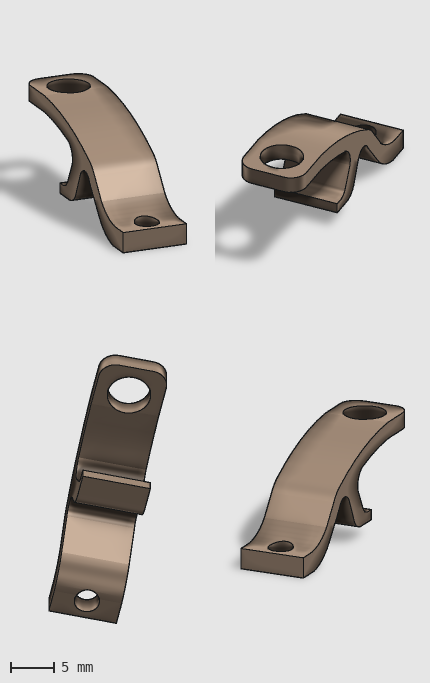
import cadquery as cq

length = 28.45
width = 8.0
height = 12.3

strip_thickness = 2.0
mount_flat_end = 6.0
mount_corner_radius = 2.0
foot_thickness = 2.47
foot_top_start = 26.9
foot_bottom_start = 25.6

hook_tip_x = 10.38
hook_bottom = 1.75
hook_thickness = 1.25
hook_top = hook_bottom + hook_thickness

mount_hole_diameter = 5.0
mount_hole_x = 3.85
foot_hole_diameter = 2.9
foot_hole_x = 26.16


def side_profile():
    """Closed side outline in XZ, traced clockwise from the top left corner."""
    mount_bottom = height - strip_thickness
    outline = cq.Workplane("XZ").moveTo(0, height)

    outline = (
        outline.lineTo(mount_flat_end, height)
        .threePointArc((12.5, 11.0), (18.69, 8.3))
        .threePointArc((19.62, 7.65), (20.33, 6.83))
        .lineTo(22.27, 4.35)
        .threePointArc((24.12, 3.05), (foot_top_start, foot_thickness))
        .lineTo(length, foot_thickness)
        .lineTo(length, 0)
    )

    outline = (
        outline.lineTo(foot_bottom_start, 0)
        .threePointArc((23.5, 0.7), (21.61, 2.25))
        .lineTo(18.83, 5.65)
        .threePointArc((17.45, 6.6), (16.18, 5.7))
    )

    outline = (
        outline.lineTo(14.87, 2.85)
        .threePointArc((14.22, 2.13), (12.95, hook_bottom))
        .lineTo(hook_tip_x, hook_bottom)
        .lineTo(hook_tip_x, hook_top)
        .lineTo(11.25, hook_top)
        .threePointArc((12.05, 3.25), (12.55, 3.75))
        .lineTo(13.85, 6.25)
        .threePointArc((13.8, 7.74), (12.68, 8.87))
    )

    return (
        outline.threePointArc((9.39, 9.78), (mount_flat_end, mount_bottom))
        .lineTo(0, mount_bottom)
        .close()
    )


def vertical_hole(x, diameter):
    """Cutter for a hole through the full height."""
    return cq.Workplane("XY").center(x, 0).circle(diameter / 2).extrude(height)


body = side_profile().extrude(width / 2, both=True)
body = body.edges("|Z and <X").fillet(mount_corner_radius)
body = body.cut(vertical_hole(mount_hole_x, mount_hole_diameter))
result = body.cut(vertical_hole(foot_hole_x, foot_hole_diameter))